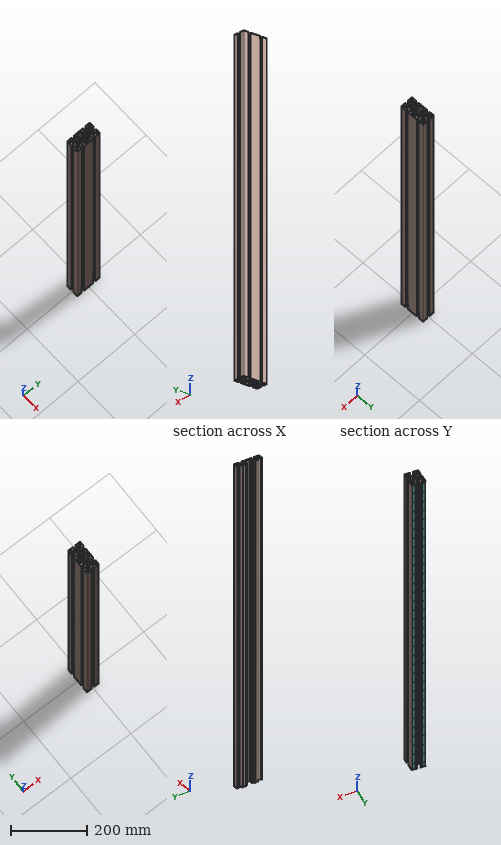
import cadquery as cq

length = 1000.0
module = 40.0
half_module = module / 2
width = module
depth = 2 * module
corner_radius = 1.0

slot_half_opening = 4.2
lip_thickness = 4.5
lip_half_width = 5.0
slot_half_width = 8.0
shoulder_depth = 11.0
slot_depth = 15.0

core_bore_diameter = 6.8
corner_hollow_size = 5.0
corner_hollow_center = 6.0

cavity_half_width = 16.0
cavity_half_height = 7.5
recess_half_width = 9.0
recess_half_height = 10.0
groove_half_width = 4.0
groove_half_height = 13.0
fin_thickness = 1.0


def prism(sketch):
    """Extrude a closed cross-section along the full bar."""
    return sketch.extrude(length)


def t_slot(face_x, face_y, angle):
    """Slot cutter whose mouth is at the given point, opening toward angle from +Y."""
    right_side = [
        (slot_half_opening, 0),
        (slot_half_opening, -lip_thickness),
        (lip_half_width, -lip_thickness),
        (slot_half_width, -shoulder_depth),
    ]
    floor_center = [(0, -slot_depth)]
    left_side = [(-x, y) for x, y in reversed(right_side)]
    cutter = prism(cq.Workplane("XY").polyline(right_side + floor_center + left_side).close())
    return cutter.rotate((0, 0, 0), (0, 0, 1), angle).translate((face_x, face_y, 0))


def box_section(size_x, size_y):
    """Rectangular cutter centered on the bar axis."""
    return prism(cq.Workplane("XY").rect(size_x, size_y))


def central_cavity():
    """Wide chamber, fin clearance and screw grooves joined into one cutter."""
    chamber = box_section(2 * cavity_half_width, 2 * cavity_half_height)
    recess = box_section(2 * recess_half_width, 2 * recess_half_height)
    fin_offset = groove_half_width + fin_thickness / 2
    fin_length = recess_half_height - cavity_half_height
    fin_y = cavity_half_height + fin_length / 2
    fins = prism(
        cq.Workplane("XY")
        .pushPoints([(sx * fin_offset, sy * fin_y) for sx in (-1, 1) for sy in (-1, 1)])
        .rect(fin_thickness, fin_length)
    )
    groove = box_section(2 * groove_half_width, 2 * groove_half_height)
    return chamber.union(recess.cut(fins)).union(groove)


bar = box_section(width, depth).edges("|Z").fillet(corner_radius)

bar = bar.cut(t_slot(0, depth / 2, 0))
bar = bar.cut(t_slot(0, -depth / 2, 180))
for core_y in (-half_module, half_module):
    bar = bar.cut(t_slot(-width / 2, core_y, 90))
    bar = bar.cut(t_slot(width / 2, core_y, -90))

core_centers = [(0, -half_module), (0, half_module)]
bar = bar.cut(prism(cq.Workplane("XY").pushPoints(core_centers).circle(core_bore_diameter / 2)))

hollow_x = width / 2 - corner_hollow_center
hollow_y = depth / 2 - corner_hollow_center
hollow_centers = [(sx * hollow_x, sy * hollow_y) for sx in (-1, 1) for sy in (-1, 1)]
hollows = cq.Workplane("XY").pushPoints(hollow_centers).rect(corner_hollow_size, corner_hollow_size)
bar = bar.cut(prism(hollows))

bar = bar.cut(central_cavity())

result = bar.translate((0, 0, -length / 2))